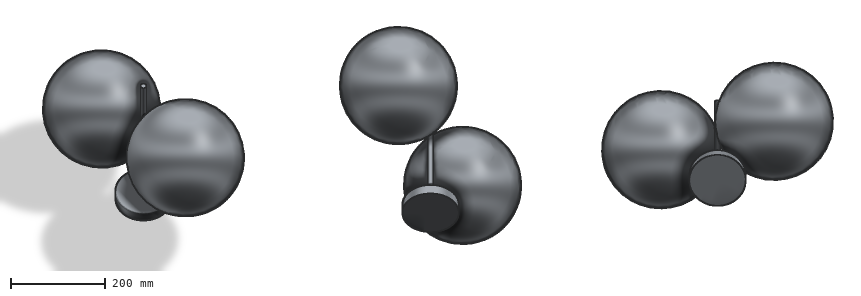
import cadquery as cq

overall_length = 512.0
overall_height = 390.0
globe_radius = 125.0
globe_drop = 80.0
base_radius = 60.0
base_height = 25.0
base_rim_fillet = 1.0
joint_radius = 2.5

globe_offset = overall_length / 2 - globe_radius
rod_radius = globe_offset - globe_radius
upper_globe_height = overall_height - globe_radius
lower_globe_height = upper_globe_height - globe_drop


def make_base():
    disc = cq.Workplane("XY").circle(base_radius).extrude(base_height)
    return disc.faces(">Z").edges().fillet(base_rim_fillet)


def make_rod():
    return cq.Workplane("XY").circle(rod_radius).extrude(overall_height)


def make_globe(side, height):
    """Globe on one side of the rod, with its seam in the YZ plane.

    A small pin at the contact point joins the globe to the rod.
    """
    globe = cq.Workplane("YZ").sphere(globe_radius).translate((side * globe_offset, 0, height))
    pin = (
        cq.Workplane("YZ", origin=(0, 0, height))
        .circle(joint_radius)
        .extrude(side * globe_offset)
    )
    return globe.union(pin)


result = (
    make_base()
    .union(make_rod())
    .union(make_globe(-1, lower_globe_height))
    .union(make_globe(1, upper_globe_height))
)